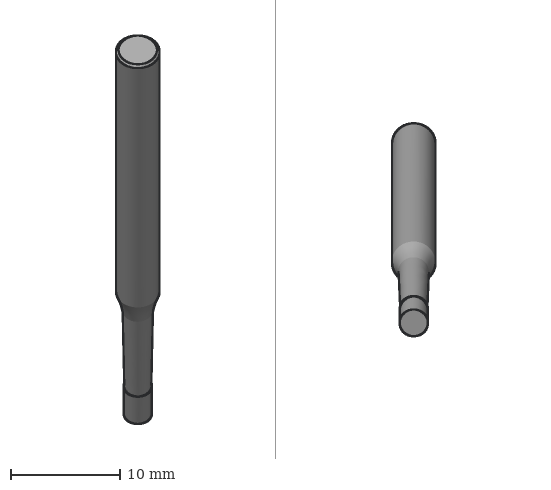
import cadquery as cq
import math

TOTAL_LENGTH = 50.0
TIP_LENGTH = 3.75
NECK_TOP = 14.15
SHANK_BOTTOM = 16.8

SHANK_RADIUS = 2.0
SHANK_CHAMFER = 0.25
NECK_TOP_RADIUS = 1.4
NECK_BOTTOM_RADIUS = 1.25
TIP_RADIUS = 1.3

SHOULDER_SAG = 0.075


def shoulder_midpoint():
    """Middle of the shoulder arc: the chord's midpoint moved towards the axis by the sag."""
    rise = SHANK_BOTTOM - NECK_TOP
    flare = SHANK_RADIUS - NECK_TOP_RADIUS
    chord = math.hypot(rise, flare)
    return (
        (NECK_TOP_RADIUS + SHANK_RADIUS) / 2 - SHOULDER_SAG * rise / chord,
        (NECK_TOP + SHANK_BOTTOM) / 2 + SHOULDER_SAG * flare / chord,
    )


def make_shank():
    """Chamfered shank, concave shoulder and slender tapered neck in one turned body."""
    half_section = (
        cq.Workplane("XZ")
        .moveTo(0, TIP_LENGTH)
        .lineTo(NECK_BOTTOM_RADIUS, TIP_LENGTH)
        .lineTo(NECK_TOP_RADIUS, NECK_TOP)
        .threePointArc(shoulder_midpoint(), (SHANK_RADIUS, SHANK_BOTTOM))
        .lineTo(SHANK_RADIUS, TOTAL_LENGTH - SHANK_CHAMFER)
        .lineTo(SHANK_RADIUS - SHANK_CHAMFER, TOTAL_LENGTH)
        .lineTo(0, TOTAL_LENGTH)
        .close()
    )
    return half_section.revolve(360, (0, 0, 0), (0, 1, 0))


def make_tip():
    """Plain cylinder butted against the end of the neck."""
    return cq.Workplane("XY").circle(TIP_RADIUS).extrude(TIP_LENGTH)


shank = make_shank()
tip = make_tip()

result = cq.Compound.makeCompound([shank.val(), tip.val()])